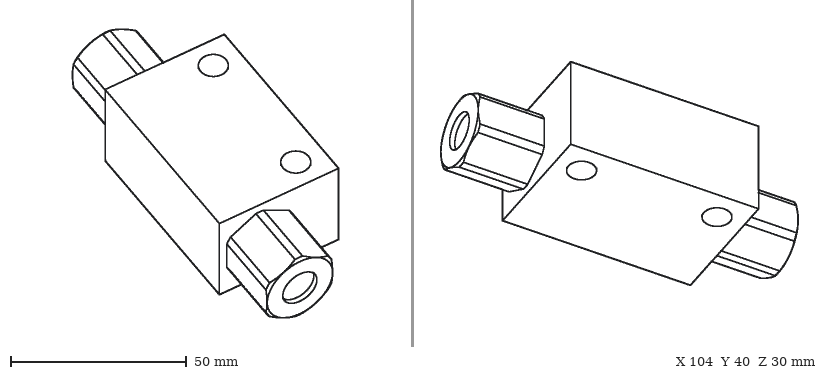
import cadquery as cq
import math

total_length = 104.0
block_length = 61.0
block_depth = 40.0
block_height = 30.0

fitting_axis_y = 13.5
hex_across_flats = 22.0
hex_corner_diameter = 24.1
face_diameter = 21.9
chamfer_angle = 30.0

port_diameter = 11.4
port_straight_depth = 1.7
port_tip_angle = 118.0

mount_hole_diameter = 8.5
mount_hole_spacing = 44.0
mount_hole_edge_distance = 9.0

end_x = total_length / 2
chamfer_length = (hex_corner_diameter - face_diameter) / 2 * math.tan(math.radians(chamfer_angle))
port_cone_depth = port_diameter / 2 / math.tan(math.radians(port_tip_angle / 2))


def make_block():
    block = cq.Workplane("XY").box(
        block_length, block_depth, block_height, centered=(True, False, True)
    )
    hole_y = block_depth - mount_hole_edge_distance
    holes = (
        cq.Workplane("XY")
        .pushPoints([(side * mount_hole_spacing / 2, hole_y) for side in (-1, 1)])
        .circle(mount_hole_diameter / 2)
        .extrude(block_height / 2, both=True)
    )
    return block.cut(holes)


def revolve_about_fitting_axis(profile):
    """Revolve (x, radius) points about the X axis, then move to the fitting axis."""
    solid = cq.Workplane("XY").polyline(profile).close().revolve(360, (0, 0, 0), (1, 0, 0))
    return solid.translate((0, fitting_axis_y, 0))


def make_hex_bar():
    """Full-length hexagonal bar with vertices at top and bottom, rounded and chamfered."""
    hex_vertex_diameter = hex_across_flats / math.cos(math.pi / 6)
    bar = (
        cq.Workplane("YZ")
        .transformed(rotate=(0, 0, 90))
        .polygon(6, hex_vertex_diameter)
        .extrude(end_x, both=True)
        .translate((0, fitting_axis_y, 0))
    )
    shoulder_x = end_x - chamfer_length
    envelope = revolve_about_fitting_axis([
        (-end_x, 0),
        (-end_x, face_diameter / 2),
        (-shoulder_x, hex_corner_diameter / 2),
        (shoulder_x, hex_corner_diameter / 2),
        (end_x, face_diameter / 2),
        (end_x, 0),
    ])
    return bar.intersect(envelope)


def make_port(side):
    """Drill volume with a conical tip; side is -1 or 1 along X."""
    straight_end_x = end_x - port_straight_depth
    return revolve_about_fitting_axis([
        (side * end_x, 0),
        (side * end_x, port_diameter / 2),
        (side * straight_end_x, port_diameter / 2),
        (side * (straight_end_x - port_cone_depth), 0),
    ])


result = make_block().union(make_hex_bar())

for port_side in (-1, 1):
    result = result.cut(make_port(port_side))